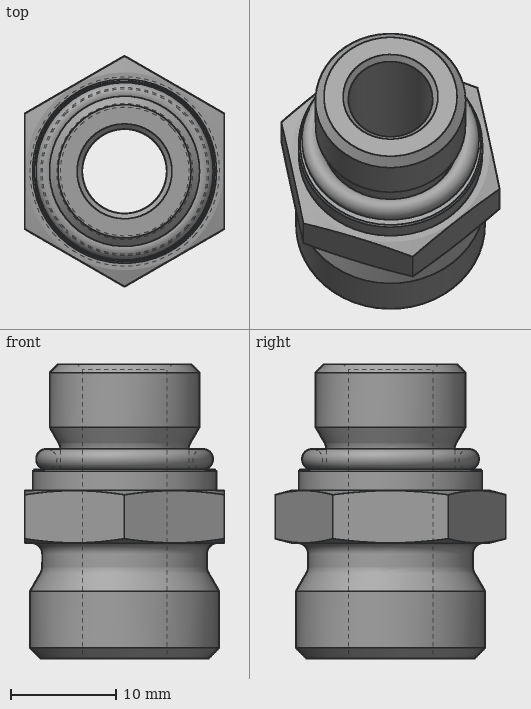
import cadquery as cq
import math

TOTAL_HEIGHT = 28.0
TUBE_END_THREAD_TOP = 6.4
HEX_BOTTOM = 10.98
HEX_TOP = 16.0
COLLAR_TOP = 17.98
STUD_THREAD_BOTTOM = 22.0

BORE_DIAMETER = 8.0
STUD_DIAMETER = 14.28
STUD_NECK_DIAMETER = 12.25
COLLAR_DIAMETER = 17.5
TUBE_END_DIAMETER = 18.0
TUBE_END_NECK_DIAMETER = 15.7
HEX_ACROSS_FLATS = 19.0

STUD_CHAMFER = 0.8
TUBE_END_CHAMFER = 1.0
BORE_CHAMFER = 0.5
COLLAR_CHAMFER = 0.17
NECK_TAPER_ANGLE = math.radians(30)
STUD_NECK_FILLET = 1.0
TUBE_END_NECK_FILLET = 1.0
HEX_CHAMFER_ANGLE = math.radians(15)
HEX_CHAMFER_DIAMETER = 18.82

SEAL_OUTER_DIAMETER = 16.85
SEAL_SECTION_DIAMETER = 1.95


def revolve_profile(points):
    """Revolve a closed (radius, height) outline around the Z axis."""
    return cq.Workplane("XZ").polyline(points).close().revolve(360, (0, 0), (0, 1))


def ring_edge(radius, height):
    """Select the circular edge of the given radius and height."""
    tolerance = 0.003

    def box_around(size):
        return cq.selectors.BoxSelector(
            (-size, -size, height - tolerance), (size, size, height + tolerance), boundingbox=True
        )

    return box_around(radius + tolerance) - box_around(radius - tolerance)


def make_stud_end():
    """Threaded stud with a tapered undercut, standing on the collar."""
    radius = STUD_DIAMETER / 2
    neck = STUD_NECK_DIAMETER / 2
    collar = COLLAR_DIAMETER / 2
    taper_bottom = STUD_THREAD_BOTTOM - (radius - neck) / math.tan(NECK_TAPER_ANGLE)
    stud = revolve_profile([
        (0, HEX_TOP),
        (collar, HEX_TOP),
        (collar, COLLAR_TOP - COLLAR_CHAMFER),
        (collar - COLLAR_CHAMFER, COLLAR_TOP),
        (neck, COLLAR_TOP),
        (neck, taper_bottom),
        (radius, STUD_THREAD_BOTTOM),
        (radius, TOTAL_HEIGHT - STUD_CHAMFER),
        (radius - STUD_CHAMFER, TOTAL_HEIGHT),
        (0, TOTAL_HEIGHT),
    ])
    return stud.edges(ring_edge(neck, taper_bottom)).fillet(STUD_NECK_FILLET)


def make_hexagon():
    """Hexagon with corners on Y and both ends turned to a shallow cone."""
    corner = HEX_ACROSS_FLATS / 2 / math.cos(math.pi / 6)
    chamfer = HEX_CHAMFER_DIAMETER / 2
    drop = (corner - chamfer) * math.tan(HEX_CHAMFER_ANGLE)
    prism = (
        cq.Workplane("XY", origin=(0, 0, HEX_BOTTOM))
        .transformed(rotate=(0, 0, 90))
        .polygon(6, 2 * corner)
        .extrude(HEX_TOP - HEX_BOTTOM)
    )
    turned_blank = revolve_profile([
        (0, HEX_BOTTOM),
        (chamfer, HEX_BOTTOM),
        (corner, HEX_BOTTOM + drop),
        (corner, HEX_TOP - drop),
        (chamfer, HEX_TOP),
        (0, HEX_TOP),
    ])
    return prism.intersect(turned_blank)


def make_tube_end():
    """Larger threaded end with a tapered undercut below the hexagon."""
    radius = TUBE_END_DIAMETER / 2
    neck = TUBE_END_NECK_DIAMETER / 2
    taper_top = TUBE_END_THREAD_TOP + (radius - neck) / math.tan(NECK_TAPER_ANGLE)
    tube_end = revolve_profile([
        (0, 0),
        (radius - TUBE_END_CHAMFER, 0),
        (radius, TUBE_END_CHAMFER),
        (radius, TUBE_END_THREAD_TOP),
        (neck, taper_top),
        (neck, HEX_BOTTOM),
        (0, HEX_BOTTOM),
    ])
    return tube_end.edges(ring_edge(neck, taper_top)).fillet(TUBE_END_NECK_FILLET)


def make_bore():
    """Through bore with a countersink at the stud end."""
    radius = BORE_DIAMETER / 2
    return revolve_profile([
        (0, 0),
        (radius, 0),
        (radius, TOTAL_HEIGHT - BORE_CHAMFER),
        (radius + BORE_CHAMFER, TOTAL_HEIGHT),
        (0, TOTAL_HEIGHT),
    ])


def make_fitting():
    """Complete fitting body in one solid."""
    body = make_tube_end().union(make_hexagon()).union(make_stud_end())
    under_hex = ring_edge(TUBE_END_NECK_DIAMETER / 2, HEX_BOTTOM)
    return body.edges(under_hex).fillet(TUBE_END_NECK_FILLET).cut(make_bore())


def make_seal():
    """O-ring resting on the collar."""
    section = SEAL_SECTION_DIAMETER / 2
    ring_radius = SEAL_OUTER_DIAMETER / 2 - section
    return (
        cq.Workplane("XZ")
        .center(ring_radius, COLLAR_TOP + section)
        .circle(section)
        .revolve(360, (-ring_radius, 0), (-ring_radius, 1))
    )


fitting = make_fitting()
seal = make_seal()
result = cq.Compound.makeCompound([fitting.solids().val(), seal.val()])